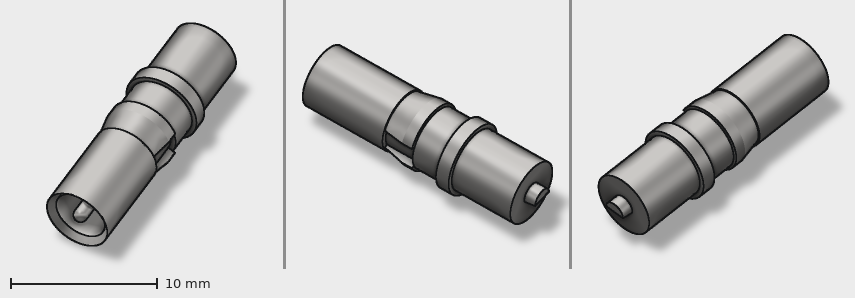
import cadquery as cq
import math

total_length = 18.6
stub_length = 0.91
body_rear_y = total_length - stub_length
flange_rear_y = 12.7
flange_width = 1.08
flange_front_y = flange_rear_y - flange_width
groove_rear_y = 9.37
groove_front_y = 6.79
ring_clearance = 0.05
ring_rear_y = groove_rear_y - ring_clearance
ring_band_width = 0.85
ring_taper_y = ring_rear_y - ring_band_width

tube_diameter = 4.75
body_diameter = 4.8
flange_diameter = 5.5
groove_diameter = 4.0
ring_diameter = 5.19
ring_front_diameter = 4.52
bore_diameter = 3.81
pin_diameter = 1.0
stub_diameter = 1.6

bore_floor_wall = 0.46
bore_depth = groove_front_y - bore_floor_wall
mouth_depth = (tube_diameter - bore_diameter) / 2
ring_gap_angle = 45.0
stub_root_drop = 0.2


def turned(points):
    """Revolve a closed (radius, y) outline around the Y axis."""
    profile = cq.Workplane("XY").polyline(points).close()
    return profile.revolve(360, (0, 0, 0), (0, 1, 0))


def make_body():
    """Front tube with its flared socket, ring groove, flange and rear barrel."""
    tube_radius = tube_diameter / 2
    groove_radius = groove_diameter / 2
    body_radius = body_diameter / 2
    flange_radius = flange_diameter / 2
    bore_radius = bore_diameter / 2
    return turned([
        (0, bore_depth),
        (bore_radius, bore_depth),
        (bore_radius, mouth_depth),
        (tube_radius, 0),
        (tube_radius, groove_front_y),
        (groove_radius, groove_front_y),
        (groove_radius, groove_rear_y),
        (body_radius, groove_rear_y),
        (body_radius, flange_front_y),
        (flange_radius, flange_front_y),
        (flange_radius, flange_rear_y),
        (body_radius, flange_rear_y),
        (body_radius, body_rear_y),
        (0, body_rear_y),
    ])


def make_spring_ring():
    """Split ring seated in the groove, tapering forward, with its gap facing +X."""
    inner_radius = groove_diameter / 2
    ring = turned([
        (inner_radius, groove_front_y),
        (ring_front_diameter / 2, groove_front_y),
        (ring_diameter / 2, ring_taper_y),
        (ring_diameter / 2, ring_rear_y),
        (inner_radius, ring_rear_y),
    ])
    gap_reach = flange_diameter
    gap_half_height = gap_reach * math.tan(math.radians(ring_gap_angle / 2))
    gap = (
        cq.Workplane("XZ")
        .polyline([(0, 0), (gap_reach, -gap_half_height), (gap_reach, gap_half_height)])
        .close()
        .extrude(-total_length)
    )
    return ring.cut(gap)


def make_pin():
    """Contact pin on the axis with a hemispherical tip level with the tube rim."""
    radius = pin_diameter / 2
    corner = radius * math.sqrt(0.5)
    return (
        cq.Workplane("XY")
        .moveTo(0, 0)
        .threePointArc((corner, radius - corner), (radius, radius))
        .lineTo(radius, bore_depth)
        .lineTo(0, bore_depth)
        .close()
        .revolve(360, (0, 0, 0), (0, 1, 0))
    )


def make_stub():
    """Upper part of a round rear stub, its underside sloping up to the axis at the tip."""
    radius = stub_diameter / 2
    round_stub = cq.Workplane("XZ").workplane(offset=-body_rear_y).circle(radius).extrude(-stub_length)
    kept_side = (
        cq.Workplane("YZ")
        .polyline([
            (body_rear_y, -stub_root_drop),
            (total_length, 0),
            (total_length, radius),
            (body_rear_y, radius),
        ])
        .close()
        .extrude(radius, both=True)
    )
    return round_stub.intersect(kept_side)


result = make_body().union(make_spring_ring()).union(make_pin()).union(make_stub())